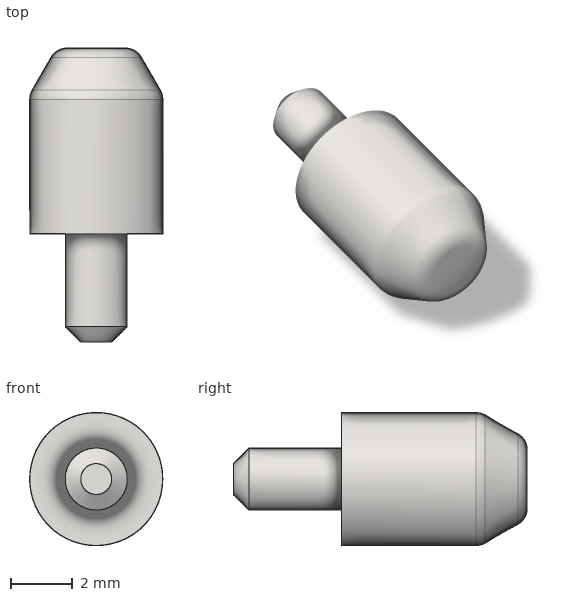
import cadquery as cq
import math

total_length = 9.5
head_length = 6.0
head_diameter = 4.3
nose_length = 1.5
nose_half_angle = 30.0
nose_rounding = 0.6
pin_diameter = 2.0
pin_chamfer = 0.5

head_radius = head_diameter / 2
pin_radius = pin_diameter / 2
pin_length = total_length - head_length
nose_start = head_length - nose_length
nose_tip_radius = head_radius - nose_length * math.tan(math.radians(nose_half_angle))


def revolve_about_y(profile):
    """Turn a closed XY half-profile a full revolution about the Y axis."""
    return profile.revolve(360, (0, 0, 0), (0, 1, 0))


def make_head():
    """Cylinder with a tapered nose, rounded at both ends of the taper."""
    profile = (
        cq.Workplane("XY")
        .polyline([
            (0, 0),
            (head_radius, 0),
            (head_radius, nose_start),
            (nose_tip_radius, head_length),
            (0, head_length),
        ])
        .close()
    )
    head = revolve_about_y(profile)
    nose_edges = cq.selectors.BoxSelector(
        (-head_diameter, nose_start / 2, -head_diameter),
        (head_diameter, total_length, head_diameter),
    )
    return head.edges("%CIRCLE").edges(nose_edges).fillet(nose_rounding)


def make_pin():
    """Round pin that meets the shoulder face and has a chamfered free end."""
    profile = (
        cq.Workplane("XY")
        .polyline([
            (0, 0),
            (pin_radius, 0),
            (pin_radius, pin_chamfer - pin_length),
            (pin_radius - pin_chamfer, -pin_length),
            (0, -pin_length),
        ])
        .close()
    )
    return revolve_about_y(profile)


head = make_head()
pin = make_pin()
result = cq.Compound.makeCompound([head.val(), pin.val()])